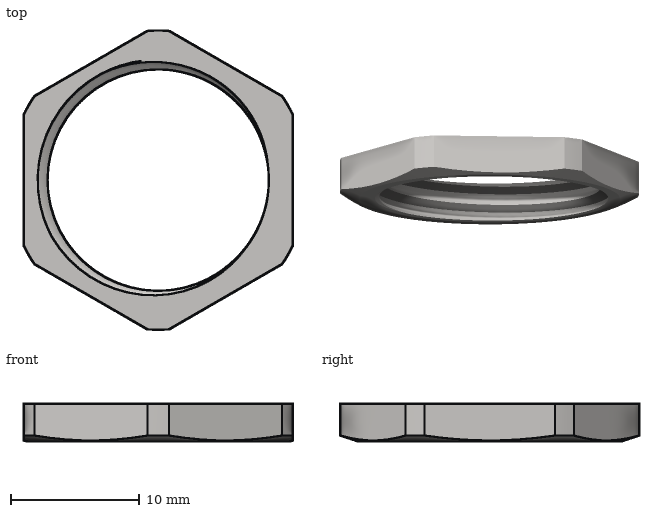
import cadquery as cq
import math

across_flats = 21.0
corner_diameter = 23.34
thickness = 2.97

chamfer_base_diameter = 20.4
chamfer_height = 0.48

pitch = 1.44
minor_diameter = 17.24
flank_angle = 60.0
root_flat = pitch / 4
crest_flat = pitch / 8
thread_exit_angle = 163.0

bore_seam_angle = 90.0

overrun = 0.1


def hexagon_body():
    """Hexagonal prism with flats at +X and -X and its corners turned to a cylinder."""
    hexagon_diameter = across_flats / math.cos(math.radians(30))
    hexagon = (
        cq.Workplane("XY")
        .polygon(6, hexagon_diameter)
        .extrude(thickness)
        .rotate((0, 0, 0), (0, 0, 1), 30)
    )
    return hexagon.intersect(turned_blank())


def turned_blank():
    """Cylinder over the corners with the conical chamfer at its lower end."""
    corner_radius = corner_diameter / 2
    return (
        cq.Workplane("XZ")
        .moveTo(0, 0)
        .lineTo(chamfer_base_diameter / 2, 0)
        .lineTo(corner_radius, chamfer_height)
        .lineTo(corner_radius, thickness)
        .lineTo(0, thickness)
        .close()
        .revolve(360, (0, 0, 0), (0, 1, 0))
    )


def bore():
    """Cylinder through the nut at the thread's minor diameter."""
    cylinder = cq.Workplane("XY").circle(minor_diameter / 2).extrude(thickness)
    return cylinder.rotate((0, 0, 0), (0, 0, 1), bore_seam_angle)


def thread_groove():
    """Right-hand groove running out past both faces of the nut."""
    minor_radius = minor_diameter / 2
    flank_slope = math.tan(math.radians(flank_angle / 2))
    groove_depth = (pitch - crest_flat - root_flat) / 2 / flank_slope
    root_radius = minor_radius + groove_depth
    inner_radius = minor_radius - overrun
    root_half_width = root_flat / 2
    inner_half_width = root_half_width + (root_radius - inner_radius) * flank_slope

    turns_below = math.ceil(thickness / pitch + 0.5)
    start_height = thickness - turns_below * pitch
    helix_height = (turns_below + 1) * pitch
    helix = cq.Wire.makeHelix(pitch, helix_height, minor_radius)
    groove = (
        cq.Workplane("XZ")
        .moveTo(inner_radius, -inner_half_width)
        .lineTo(root_radius, -root_half_width)
        .lineTo(root_radius, root_half_width)
        .lineTo(inner_radius, inner_half_width)
        .close()
        .sweep(cq.Workplane(helix), isFrenet=True)
    )
    return groove.rotate((0, 0, 0), (0, 0, 1), thread_exit_angle).translate((0, 0, start_height))


result = hexagon_body().cut(bore()).cut(thread_groove())